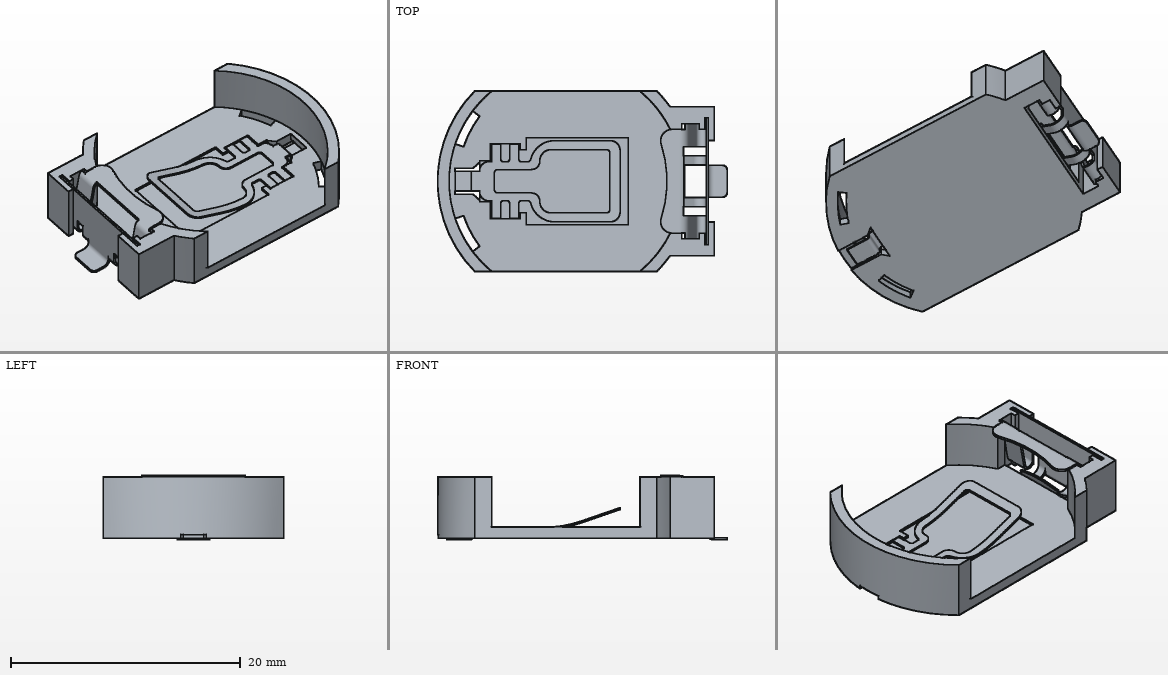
import cadquery as cq
import math


housing_height = 5.35
floor_thickness = 1.0
housing_width = 15.7
cell_radius = 10.15
outer_radius = cell_radius + 1.0
block_width = 12.96
block_end_x = 12.93

channel_width = 8.5
lip_seat_width = 9.04
lip_seat_z = 5.2
cavity_start_x = 10.1
cavity_step_x = 11.62
cavity_width = 9.96
rear_opening_width = 7.06

drain_slot_outer_radius = cell_radius - 0.01
drain_slot_inner_radius = 9.39
drain_slot_start_angle = 18.7
drain_slot_end_angle = 37.0

negative_sheet = 0.15
positive_sheet = 0.2
tab_bottom_z = -0.15
margin = 0.05

base_top_z = 0.95
base_bottom_z = base_top_z - negative_sheet
base_start_x = -7.5
tab_start_x = -10.35
tab_width = 1.74
tab_leg_x = -8.23
tab_lower_bend = 0.15
tab_upper_bend = 0.2
spring_bend_start_x = -1.97
spring_bend_radius = 10.4
spring_angle = 19.1
spring_tip_x = 4.72
spring_width = 7.06
spring_band = 0.78
loop_tip_band = 0.88
spring_tip_radius = 0.85
neck_width = 3.4
neck_corner_radius = 0.8
arm_start_x = -6.46
arm_end_x = -4.08
arm_span = 6.46
arm_slot_width = 0.76
arm_slot_radius = 0.2
arm_root_radius = 0.2
shoulder_radius = 2.15
neck_fillet = 0.25
neck_end_x = -3.3
loop_start_x = -6.21
loop_neck_width = 2.04
loop_neck_end_x = -2.98
loop_neck_radius = 0.72
loop_shoulder_radius = 0.98
loop_corner_radius = 0.3

window_start_x = -9.63
window_flare_x = -8.08
window_width = 2.22
window_flare_width = 3.26
wall_notch_height = 0.32
recess_neck_width = 3.54
recess_arm_start_x = -6.56
recess_arm_end_x = -3.98
recess_arm_width = 6.5
recess_link_width = 5.52
recess_spring_start_x = -3.44
recess_spring_end_x = 5.41
recess_spring_width = 7.56

lip_top_z = 5.46
lip_width = 9.02
lip_lobe_radius = 1.0
lip_tip_x = 8.25
lip_waist_x = 8.8
lip_bend_x = 9.88
lip_bend_outer_radius = 0.8
plate_outer_x = 12.4
plate_inner_x = plate_outer_x - positive_sheet
plate_width = 11.06
plate_clearance = 0.13
plate_bottom_z = 1.0
leg_bend_radius = 0.42
leg_step_x = 10.35
leg_inner_width = 5.98
leg_window_x = 10.25
finger_outer_width = 4.46
finger_inner_width = 2.8
finger_bend_radius = 0.7
finger_rise_angle = 32.0
tongue_bend_x = 10.33
tongue_bend_radius = 0.1
tongue_angle = 72.0
tongue_tip_z = 1.75
tongue_flat_width = 1.2
tongue_taper = 0.3
finger_slot_top_z = 1.9
terminal_end_x = 14.05
terminal_bend_radius = 0.5
terminal_corner_radius = 0.45


def box(x_min, x_max, width, z_min, z_max):
    """Box symmetric about the XZ plane."""
    return (
        cq.Workplane("XY", origin=(0, 0, z_min))
        .moveTo((x_min + x_max) / 2, 0)
        .rect(x_max - x_min, width)
        .extrude(z_max - z_min)
    )


def bent_strip(start, heading, moves, sheet, width):
    """Sheet strip folded in the XZ plane, centred on Y = 0.

    start and heading (degrees) describe the middle of the sheet. Each move is
    ("line", length) or ("bend", inner radius, angle), positive angles turning left.
    """
    half = sheet / 2
    x, z = start

    def sides(px, pz, direction):
        nx = -math.sin(math.radians(direction)) * half
        nz = math.cos(math.radians(direction)) * half
        return (px + nx, pz + nz), (px - nx, pz - nz)

    left_start, right_start = sides(x, z, heading)
    left_edges = []
    right_edges = []
    left_last, right_last = left_start, right_start
    for kind, size, *turn in moves:
        if kind == "line":
            x += size * math.cos(math.radians(heading))
            z += size * math.sin(math.radians(heading))
            middle = None
        else:
            side = math.copysign(90, turn[0])
            radius = size + half
            centre_x = x + radius * math.cos(math.radians(heading + side))
            centre_z = z + radius * math.sin(math.radians(heading + side))
            stations = []
            for step in (turn[0] / 2, turn[0]):
                spoke = math.radians(heading - side + step)
                stations.append((centre_x + radius * math.cos(spoke), centre_z + radius * math.sin(spoke)))
            middle = sides(*stations[0], heading + turn[0] / 2)
            x, z = stations[1]
            heading += turn[0]
        left, right = sides(x, z, heading)
        left_edges.append((left, left_last, middle and middle[0]))
        right_edges.append((right_last, right, middle and middle[1]))
        left_last, right_last = left, right

    section = cq.Workplane("XZ", origin=(0, width / 2, 0)).moveTo(*left_start)
    for end, _, middle in left_edges:
        section = section.threePointArc(middle, end) if middle else section.lineTo(*end)
    section = section.lineTo(*right_last)
    for end, _, middle in reversed(right_edges):
        section = section.threePointArc(middle, end) if middle else section.lineTo(*end)
    return section.close().extrude(width)


def plan(outline):
    """Tall prism used to trim a folded strip to its outline."""
    return outline.extrude(2 * housing_height).translate((0, 0, -housing_height / 2))


def tall_box(x_min, x_max, width):
    """Box tall enough to pass through every body."""
    return box(x_min, x_max, width, -housing_height / 2, 1.5 * housing_height)


def mirrored(half_body):
    """A body together with its mirror image across the XZ plane."""
    return half_body.union(half_body.mirror("XZ"))


def make_drain_slot():
    def polar(radius, angle):
        turned = math.radians(180 - angle)
        return radius * math.cos(turned), radius * math.sin(turned)

    mid_angle = (drain_slot_start_angle + drain_slot_end_angle) / 2
    return (
        cq.Workplane("XY")
        .moveTo(*polar(drain_slot_outer_radius, drain_slot_start_angle))
        .threePointArc(
            polar(drain_slot_outer_radius, mid_angle),
            polar(drain_slot_outer_radius, drain_slot_end_angle),
        )
        .lineTo(*polar(drain_slot_inner_radius, drain_slot_end_angle))
        .threePointArc(
            polar(drain_slot_inner_radius, mid_angle),
            polar(drain_slot_inner_radius, drain_slot_start_angle),
        )
        .close()
        .extrude(floor_thickness)
    )


def make_tab_window():
    flare = (
        cq.Workplane("XY")
        .moveTo(window_flare_x, window_width / 2)
        .lineTo(base_start_x, window_flare_width / 2)
        .lineTo(base_start_x, -window_flare_width / 2)
        .lineTo(window_flare_x, -window_width / 2)
        .close()
        .extrude(floor_thickness)
    )
    window = box(window_start_x, base_start_x, window_width, 0, floor_thickness)
    wall_notch = box(-outer_radius, window_start_x, window_width, 0, wall_notch_height)
    return window.union(flare).union(wall_notch)


def make_contact_recess():
    steps = [
        (base_start_x, recess_arm_start_x, recess_neck_width),
        (recess_arm_start_x, recess_arm_end_x, recess_arm_width),
        (recess_arm_end_x, recess_spring_start_x, recess_link_width),
        (recess_spring_start_x, recess_spring_end_x, recess_spring_width),
    ]
    return [box(x_min, x_max, width, base_bottom_z, floor_thickness) for x_min, x_max, width in steps]


def make_block(z_min, z_max):
    """Slice of the outer shape: a truncated disc joined to the rear block."""
    disc = cq.Workplane("XY", origin=(0, 0, z_min)).circle(outer_radius).extrude(z_max - z_min)
    body = disc.intersect(box(-outer_radius, outer_radius, housing_width, z_min, z_max))
    return body.union(box(0, block_end_x, block_width, z_min, z_max))


def make_housing():
    floor = make_block(0, floor_thickness)
    drain_slot = make_drain_slot()
    floor = floor.cut(drain_slot).cut(drain_slot.mirror("XZ"))

    walls = make_block(floor_thickness, housing_height)
    walls = walls.cut(cq.Workplane("XY").circle(cell_radius).extrude(housing_height))
    walls = walls.cut(box(0, cavity_start_x, channel_width, floor_thickness, housing_height))
    walls = walls.cut(box(0, cavity_start_x, lip_seat_width, lip_seat_z, housing_height))
    body = floor.union(walls)

    body = body.cut(box(cavity_start_x, cavity_step_x, cavity_width, 0, housing_height))
    body = body.cut(box(cavity_step_x, plate_outer_x, lip_seat_width, 0, housing_height))
    body = body.cut(box(plate_outer_x, block_end_x, rear_opening_width, 0, housing_height))
    plate_slot_x = plate_inner_x - plate_clearance
    body = body.cut(box(plate_slot_x, plate_outer_x, plate_width, plate_bottom_z, housing_height))

    body = body.cut(make_tab_window())
    for step in make_contact_recess():
        body = body.cut(step)
    return body


def make_neck_and_loop():
    """Prism over the neck, shoulders and spring loop, without the loop opening."""
    half = spring_width / 2
    neck = neck_width / 2
    shoulder_y = half - shoulder_radius
    fillet_y = neck + neck_fillet
    reach = shoulder_radius + neck_fillet
    spread = math.sqrt(reach**2 - (fillet_y - shoulder_y) ** 2)
    shoulder_x = neck_end_x + spread
    share = shoulder_radius / reach
    join = (shoulder_x - spread * share, shoulder_y + (fillet_y - shoulder_y) * share)
    side = (
        cq.Workplane("XY")
        .moveTo(base_start_x, 0)
        .lineTo(base_start_x, neck)
        .lineTo(neck_end_x, neck)
        .tangentArcPoint(join, relative=False)
        .tangentArcPoint((shoulder_x, half), relative=False)
        .lineTo(spring_tip_x, half)
        .lineTo(spring_tip_x, 0)
        .close()
    )
    outline = mirrored(plan(side))
    outline = outline.edges("|Z and >X").fillet(spring_tip_radius)
    return outline.edges("|Z and <X").fillet(neck_corner_radius)


def make_loop_opening():
    tip_x = spring_tip_x - loop_tip_band
    half = spring_width / 2 - spring_band
    neck = loop_neck_width / 2
    rise_x = loop_neck_end_x + loop_neck_radius
    side = (
        cq.Workplane("XY")
        .moveTo(loop_start_x, 0)
        .lineTo(loop_start_x, neck - loop_corner_radius)
        .tangentArcPoint((loop_start_x + loop_corner_radius, neck), relative=False)
        .lineTo(loop_neck_end_x, neck)
        .tangentArcPoint((rise_x, neck + loop_neck_radius), relative=False)
        .lineTo(rise_x, half - loop_shoulder_radius)
        .tangentArcPoint((rise_x + loop_shoulder_radius, half), relative=False)
        .lineTo(tip_x - loop_corner_radius, half)
        .tangentArcPoint((tip_x, half - loop_corner_radius), relative=False)
        .lineTo(tip_x, 0)
        .close()
    )
    return plan(side)


def neck_edges(x_min, x_max):
    """Selector for the upright edges lying on the sides of the neck."""
    half = neck_width / 2 + margin
    height = 2 * housing_height
    return cq.selectors.BoxSelector((x_min - margin, -half, -height), (x_max + margin, half, height))


def make_arms():
    """Crosswise arms beside the neck, each parted by a round-ended slot."""
    arms = tall_box(arm_start_x, arm_end_x, arm_span)
    slot_x = (arm_start_x + arm_end_x) / 2
    slot_start_x = slot_x - arm_slot_width / 2
    slot_end_x = slot_x + arm_slot_width / 2
    slots = tall_box(slot_start_x, slot_end_x, arm_span).cut(tall_box(arm_start_x, arm_end_x, neck_width))
    slots = slots.edges("|Z").edges(neck_edges(slot_start_x, slot_end_x)).fillet(arm_slot_radius)
    return arms.cut(slots)


def make_negative_contact():
    middle = negative_sheet / 2
    lower = tab_lower_bend + middle
    upper = tab_upper_bend + middle
    leg_middle_x = tab_leg_x + middle
    tab_z = tab_bottom_z + middle
    base_z = base_top_z - middle
    spring_run = spring_tip_x - spring_bend_start_x
    bend_run = spring_bend_radius * math.sin(math.radians(spring_angle))
    spring_straight = (spring_run - bend_run) / math.cos(math.radians(spring_angle))
    moves = [
        ("line", leg_middle_x - lower - tab_start_x),
        ("bend", tab_lower_bend, 90),
        ("line", base_z - tab_z - lower - upper),
        ("bend", tab_upper_bend, -90),
        ("line", spring_bend_start_x - leg_middle_x - upper),
        ("bend", spring_bend_radius, spring_angle),
        ("line", spring_straight),
    ]
    strip = bent_strip((tab_start_x, tab_z), 0, moves, negative_sheet, spring_width)

    outline = make_neck_and_loop().union(make_arms())
    outline = outline.edges("|Z").edges(neck_edges(arm_end_x, arm_end_x)).fillet(arm_root_radius)
    outline = outline.union(tall_box(tab_start_x, arm_start_x, tab_width))
    return strip.intersect(outline.cut(mirrored(make_loop_opening())))


def make_lip_outline():
    """Wavy lip: two round lobes joined by a shallow tangent waist."""
    lobe_x = lip_tip_x + lip_lobe_radius
    lobe_y = lip_width / 2 - lip_lobe_radius
    shift = lobe_x - lip_waist_x
    waist_radius = (shift**2 + lobe_y**2 - lip_lobe_radius**2) / (2 * (lip_lobe_radius - shift))
    waist_centre_x = lip_waist_x - waist_radius
    share = waist_radius / (waist_radius + lip_lobe_radius)
    join_x = waist_centre_x + (lobe_x - waist_centre_x) * share
    join_y = lobe_y * share
    half = lip_width / 2
    return (
        cq.Workplane("XY")
        .moveTo(plate_outer_x, half)
        .lineTo(lobe_x, half)
        .tangentArcPoint((join_x, join_y), relative=False)
        .threePointArc((lip_waist_x, 0), (join_x, -join_y))
        .tangentArcPoint((lobe_x, -half), relative=False)
        .lineTo(plate_outer_x, -half)
        .close()
    )


def make_lip_and_legs():
    middle = positive_sheet / 2
    top_inner = lip_bend_outer_radius - positive_sheet
    top_radius = top_inner + middle
    bottom_radius = leg_bend_radius + middle
    bottom_x = plate_inner_x - leg_bend_radius
    top_z = lip_top_z - lip_bend_outer_radius
    run = bottom_x - lip_bend_x
    drop = top_z - plate_bottom_z
    distance = math.hypot(run, drop)
    reach = top_radius + bottom_radius
    leg_angle = math.degrees(math.atan2(drop, run) + math.asin(reach / distance))
    moves = [
        ("line", lip_bend_x - lip_tip_x),
        ("bend", top_inner, -leg_angle),
        ("line", math.sqrt(distance**2 - reach**2)),
        ("bend", leg_bend_radius, leg_angle + 90),
        ("line", positive_sheet),
    ]
    strip = bent_strip((lip_tip_x, lip_top_z - middle), 0, moves, positive_sheet, cavity_width)
    outline = plan(make_lip_outline())
    outline = outline.union(tall_box(leg_step_x, cavity_step_x, cavity_width))
    outline = outline.cut(tall_box(leg_window_x, plate_outer_x, leg_inner_width))
    return strip.intersect(outline)


def make_fingers():
    """Two fingers rising from the back plate and joined by an upright tongue."""
    middle = positive_sheet / 2
    slope = math.radians(finger_rise_angle)
    bottom_x = plate_inner_x - finger_bend_radius
    rise_start_x = bottom_x - (finger_bend_radius + middle) * math.sin(slope)
    moves = [
        ("line", positive_sheet),
        ("bend", finger_bend_radius, -90 - finger_rise_angle),
        ("line", (rise_start_x - tongue_bend_x) / math.cos(slope)),
        ("bend", tongue_bend_radius, finger_rise_angle - tongue_angle),
        ("line", tongue_tip_z),
    ]
    start = (plate_inner_x + middle, plate_bottom_z + positive_sheet)
    strip = bent_strip(start, -90, moves, positive_sheet, finger_outer_width)
    half = finger_outer_width / 2
    half_flat = tongue_flat_width / 2
    tongue_side_z = tongue_tip_z - tongue_taper
    silhouette = (
        cq.Workplane("YZ")
        .moveTo(half, 0)
        .lineTo(half, tongue_side_z)
        .lineTo(half_flat, tongue_tip_z)
        .lineTo(-half_flat, tongue_tip_z)
        .lineTo(-half, tongue_side_z)
        .lineTo(-half, 0)
        .close()
        .extrude(plate_outer_x)
    )
    return strip.intersect(silhouette).cut(tall_box(tongue_bend_x, plate_outer_x, finger_inner_width))


def make_back_plate():
    plate = box(plate_inner_x, plate_outer_x, plate_width, plate_bottom_z, housing_height)
    slots = box(plate_inner_x, plate_outer_x, leg_inner_width, plate_bottom_z, finger_slot_top_z)
    keep = box(plate_inner_x, plate_outer_x, finger_outer_width, plate_bottom_z, finger_slot_top_z)
    return plate.cut(slots.cut(keep))


def make_terminal():
    middle = positive_sheet / 2
    bend_z = tab_bottom_z + positive_sheet + terminal_bend_radius
    moves = [
        ("line", plate_bottom_z + positive_sheet - bend_z),
        ("bend", terminal_bend_radius, 90),
        ("line", terminal_end_x - plate_outer_x - terminal_bend_radius),
    ]
    start = (plate_inner_x + middle, plate_bottom_z + positive_sheet)
    strip = bent_strip(start, -90, moves, positive_sheet, finger_inner_width)
    return strip.edges("|Z and >X").fillet(terminal_corner_radius)


def make_positive_contact():
    contact = make_back_plate()
    for part in (make_lip_and_legs(), make_fingers(), make_terminal()):
        contact = contact.union(part)
    return contact


housing = make_housing()
negative_contact = make_negative_contact()
positive_contact = make_positive_contact()

result = cq.Compound.makeCompound(
    [body.solids().val() for body in (housing, negative_contact, positive_contact)]
)